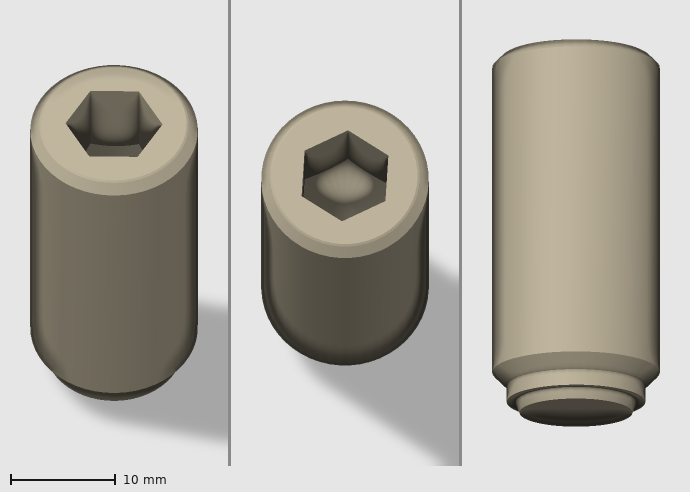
import cadquery as cq
import math

TOTAL_LENGTH = 35.0
BODY_DIAMETER = 16.0
BODY_RADIUS = BODY_DIAMETER / 2
CHAMFER_START = 34.02
EDGE_BREAK_HEIGHT = 0.122
EDGE_BREAK_WIDTH = 0.2
COLLAR_RADIUS = 6.6
COLLAR_BOTTOM = 1.05
COLLAR_TOP = 2.6

HEX_ACROSS_FLATS = 8.0
HEX_DEPTH = 8.0
CONE_ANGLE = 120.0

BALL_RADIUS = 6.0
FLAT_RADIUS = 5.4


def make_ball():
    """Ball resting on its flat, which lies in the plane Z = 0."""
    centre_height = math.sqrt(BALL_RADIUS**2 - FLAT_RADIUS**2)
    top = centre_height + BALL_RADIUS
    return (
        cq.Workplane("XZ")
        .lineTo(FLAT_RADIUS, 0)
        .threePointArc((BALL_RADIUS, centre_height), (0, top))
        .close()
        .revolve(360, (0, 0), (0, 1))
    )


def make_blank():
    """Turned body with a chamfered top and a collar below the lower chamfer."""
    shoulder = COLLAR_TOP + BODY_RADIUS - COLLAR_RADIUS
    chamfer_end = TOTAL_LENGTH - EDGE_BREAK_HEIGHT
    chamfer_end_radius = BODY_RADIUS - (chamfer_end - CHAMFER_START)
    top_radius = chamfer_end_radius - EDGE_BREAK_WIDTH
    profile = [
        (0, COLLAR_BOTTOM),
        (COLLAR_RADIUS, COLLAR_BOTTOM),
        (COLLAR_RADIUS, COLLAR_TOP),
        (BODY_RADIUS, shoulder),
        (BODY_RADIUS, CHAMFER_START),
        (chamfer_end_radius, chamfer_end),
        (top_radius, TOTAL_LENGTH),
        (0, TOTAL_LENGTH),
    ]
    return cq.Workplane("XZ").polyline(profile).close().revolve(360, (0, 0), (0, 1))


def make_hex_socket():
    """Cutter for the socket: a hexagonal prism whose lower end is trimmed to a cone."""
    corner_radius = HEX_ACROSS_FLATS / math.sqrt(3)
    shoulder = TOTAL_LENGTH - HEX_DEPTH
    point = shoulder - corner_radius / math.tan(math.radians(CONE_ANGLE / 2))
    prism = (
        cq.Workplane("XY", origin=(0, 0, point))
        .polygon(6, 2 * corner_radius)
        .extrude(TOTAL_LENGTH - point)
    )
    profile = [
        (0, point),
        (corner_radius, shoulder),
        (corner_radius, TOTAL_LENGTH),
        (0, TOTAL_LENGTH),
    ]
    pointed_bar = cq.Workplane("XZ").polyline(profile).close().revolve(360, (0, 0), (0, 1))
    return prism.intersect(pointed_bar)


ball = make_ball()
body = make_blank().cut(make_hex_socket()).cut(ball)

result = cq.Compound.makeCompound([body.val(), ball.val()])